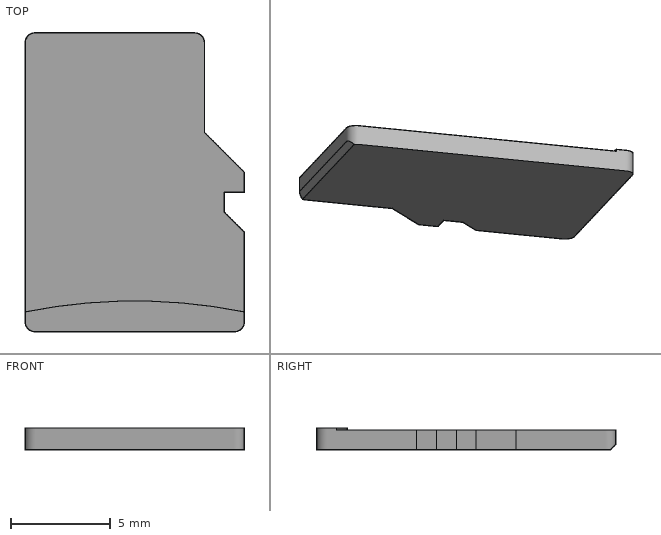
import cadquery as cq

card_width = 11.0
card_length = 15.0
body_thickness = 1.0
corner_radius = 0.5

neck_width = 9.0
neck_length = 5.0
shoulder_run = card_width - neck_width
tab_length = 1.0
notch_depth = 1.0
notch_flat_length = 1.0

grip_height = 0.1
grip_side_length = 1.0
grip_middle_length = 1.55

bevel_size = 0.27

neck_end_y = card_length - neck_length
shoulder_end_y = neck_end_y - shoulder_run
notch_top_y = shoulder_end_y - tab_length
notch_flat_end_y = notch_top_y - notch_flat_length
notch_end_y = notch_flat_end_y - notch_depth
notch_x = card_width - notch_depth


def card_blank(thickness):
    """Card outline with rounded outer corners, extruded up from Z = 0."""
    blank = (
        cq.Workplane("XY")
        .polyline([
            (0, 0),
            (card_width, 0),
            (card_width, notch_end_y),
            (notch_x, notch_flat_end_y),
            (notch_x, notch_top_y),
            (card_width, notch_top_y),
            (card_width, shoulder_end_y),
            (neck_width, neck_end_y),
            (neck_width, card_length),
            (0, card_length),
        ])
        .close()
        .extrude(thickness)
    )
    blank = blank.edges("|Z").edges("<Y or >Y").fillet(corner_radius)
    return blank


def area_ahead_of_grip():
    """Thin slab above the body, bounded at the rear by the arched grip edge."""
    return (
        cq.Workplane("XY")
        .workplane(offset=body_thickness)
        .moveTo(0, grip_side_length)
        .threePointArc((card_width / 2, grip_middle_length), (card_width, grip_side_length))
        .lineTo(card_width, card_length)
        .lineTo(0, card_length)
        .close()
        .extrude(grip_height)
    )


def insertion_bevel():
    """Wedge removed from the lower edge of the insertion end, across the full neck."""
    return (
        cq.Workplane("YZ")
        .moveTo(card_length, 0)
        .lineTo(card_length, bevel_size)
        .lineTo(card_length - bevel_size, 0)
        .close()
        .extrude(neck_width)
    )


card = card_blank(body_thickness + grip_height)
card = card.cut(area_ahead_of_grip())
card = card.cut(insertion_bevel())

result = card